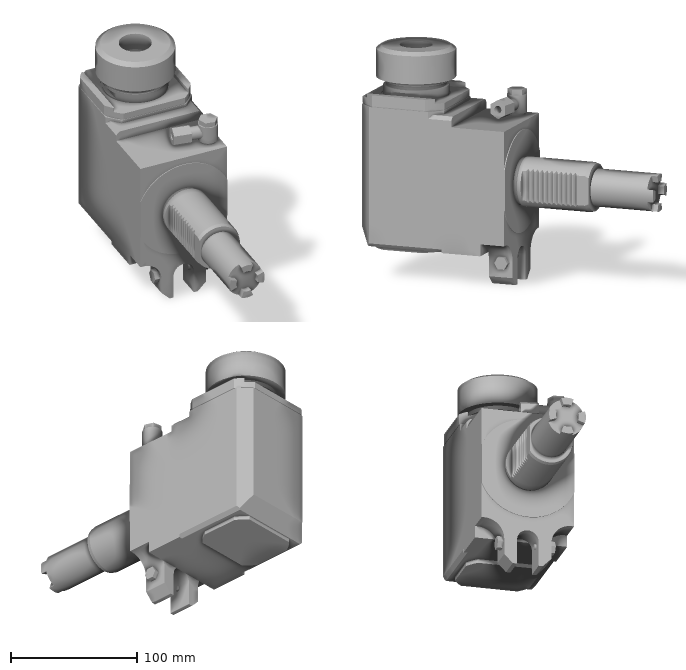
import cadquery as cq
import math

OVERALL_LENGTH = 242.5
WIDTH = 76.0
HALF_WIDTH = WIDTH / 2

TOLERANCE = 0.02

NOSE_LENGTH = 69.9
SHELF_END = 79.8
HOUSING_LENGTH = 124.7
NOSE_TOP = 58.5
SHELF_TOP = 55.8
REAR_TOP = 47.5
HOUSING_BOTTOM = -55.0
CORNER_CHAMFER = 9.7
NOSE_BEVEL_RUN = 8.5
NOSE_BEVEL_HEIGHT = 13.8
EDGE_CHAMFER = 3.0
BOTTOM_CHAMFER_END = 71.3
FACE_DISC_RADIUS = 41.5
FACE_DISC_THICKNESS = 0.7

HEAD_X = NOSE_LENGTH / 2
HEAD_TOP = 103.5
CAP_RADIUS = 31.8
CAP_BOTTOM = 78.0
CAP_CHAMFER_RUN = 4.0
CAP_CHAMFER_HEIGHT = 2.7
SPINDLE_COLLAR_RADIUS = 25.2
SPINDLE_COLLAR_BOTTOM = 74.7
SPINDLE_NECK_RADIUS = 24.0
FLANGE_TOP = 71.8
FLANGE_RADIUS = 26.2
WRENCH_FLAT_WIDTH = 46.0
WRENCH_FLAT_TOP = 69.4
TOOL_BORE_RADIUS = 13.0
TOOL_BORE_DEPTH = 14.5

PLATE_TOP = 64.5
RIM_TOP = 68.2
RIM_INNER_WIDTH = 64.3
PLATE_CORNER_RADIUS = 44.1
RIM_END_FILLET = 0.7
PLATE_GROOVE_HEIGHT = 0.7
PLATE_GROOVE_DEPTH = 0.5
SPINDLE_GROOVE_RADIUS = 27.7
SPINDLE_GROOVE_DEPTH = 1.2
PAD_LENGTH = 51.0
PAD_WIDTH = 61.1
PAD_THICKNESS = 3.2
PAD_CORNER_RADIUS = 34.5

SHANK_RADIUS = 40.0 / 2
SHANK_END_RADIUS = 19.2
SHANK_SHOULDER_START = 127.5
SHANK_SHOULDER_END = 128.8
SHANK_TAPER_START = 185.0
SHANK_END = 188.2
RACK_FLAT_START = 131.7
RACK_FLAT_OFFSET = 16.0
GROOVE_COUNT = 11
FIRST_GROOVE_X = 136.3
LAST_GROOVE_X = 176.5
GROOVE_PITCH = (LAST_GROOVE_X - FIRST_GROOVE_X) / (GROOVE_COUNT - 1)
GROOVE_DEPTH = 1.58
SHAFT_GAP_RADIUS = 10.0
SHAFT_START = 189.5
SHAFT_RADIUS = 30.3 / 2
CLAW_LENGTH = 5.0
CLAW_HALF_ANGLE = 19.5
CLAW_INNER_RADIUS = 9.5

FORK_START = 104.5
FORK_TOP = -45.4
FORK_BOTTOM = -82.0
FORK_OUTER = 19.5
FORK_GAP = 17.7 / 2
FORK_FLARE_END = -61.5
FORK_CHAMFER = 7.0
SCREW_X = 116.5
SCREW_Z = -62.8
SCREW_ACROSS_FLATS = 9.7
SCREW_HEAD_TOP = 23.8
SCREW_TIP = 7.3
SCREW_RADIUS = 2.2

FITTING_X = 109.6
FITTING_Y = 28.4
FITTING_ANGLE = 9.0
FITTING_FOOT_RADIUS = 6.8
FITTING_FOOT_TOP = 49.2
FITTING_BODY_RADIUS = 8.0
FITTING_BODY_TOP = 64.0
FITTING_HEAD_TOP = 68.2
HEX_DIAMETER = 15.5
NOZZLE_Z = 56.5
NOZZLE_TUBE_RADIUS = 5.3
NOZZLE_START = 15.3
NOZZLE_END = 29.8
NOZZLE_HOLE_RADIUS = 3.2
NOZZLE_HOLE_DEPTH = 9.7


def box(x_range, y_range, z_range):
    """Box given by its limits along each axis."""
    sizes = [high - low for low, high in (x_range, y_range, z_range)]
    return (
        cq.Workplane("XY")
        .box(*sizes, centered=False)
        .translate((x_range[0], y_range[0], z_range[0]))
    )


def head_cylinder(radius, bottom, top):
    """Vertical cylinder on the spindle head axis."""
    return cq.Workplane("XY", origin=(HEAD_X, 0, bottom)).circle(radius).extrude(top - bottom)


def head_plate(length, width, corner_radius, bottom, top):
    """Rectangular plate whose corners are turned round about the head axis."""
    blank = cq.Workplane("XY", origin=(HEAD_X, 0, bottom)).rect(length, width).extrude(top - bottom)
    return blank.intersect(head_cylinder(corner_radius, bottom, top))


def width_extrusion(points):
    """XZ outline extruded across the full housing width."""
    return cq.Workplane("XZ").polyline(points).close().extrude(HALF_WIDTH, both=True)


def edge_wedge(x_start, x_end, z_edge, side, inward):
    """45 degree wedge that bevels one long edge; inward is the Z direction into the body."""
    y_edge = side * HALF_WIDTH
    return (
        cq.Workplane("YZ", origin=(x_start, 0, 0))
        .polyline([
            (y_edge, z_edge),
            (y_edge - side * EDGE_CHAMFER, z_edge),
            (y_edge, z_edge + inward * EDGE_CHAMFER),
        ])
        .close()
        .extrude(x_end - x_start)
    )


def make_nose():
    nose = box((0, NOSE_LENGTH), (-HALF_WIDTH, HALF_WIDTH), (HOUSING_BOTTOM, NOSE_TOP))
    return nose.edges("|Z").chamfer(CORNER_CHAMFER)


def make_housing():
    base = width_extrusion([
        (0, HOUSING_BOTTOM),
        (0, SHELF_TOP),
        (SHELF_END, SHELF_TOP),
        (SHELF_END, REAR_TOP),
        (HOUSING_LENGTH, REAR_TOP),
        (HOUSING_LENGTH, HOUSING_BOTTOM),
    ])
    base = base.edges("|Z and <X").chamfer(CORNER_CHAMFER)
    for side in (-1, 1):
        base = base.cut(edge_wedge(NOSE_LENGTH - CORNER_CHAMFER, SHELF_END, SHELF_TOP, side, -1))
    housing = base.union(make_nose())
    for side in (-1, 1):
        housing = housing.cut(edge_wedge(0, BOTTOM_CHAMFER_END, HOUSING_BOTTOM, side, 1))
    nose_bevel = width_extrusion([
        (0, HOUSING_BOTTOM),
        (NOSE_BEVEL_RUN, HOUSING_BOTTOM),
        (0, HOUSING_BOTTOM + NOSE_BEVEL_HEIGHT),
    ])
    face_end = HOUSING_LENGTH + FACE_DISC_THICKNESS
    face_disc = (
        cq.Workplane("YZ", origin=(HOUSING_LENGTH, 0, 0))
        .circle(FACE_DISC_RADIUS)
        .extrude(FACE_DISC_THICKNESS)
        .intersect(box((0, face_end), (-HALF_WIDTH, HALF_WIDTH), (-WIDTH, WIDTH)))
    )
    return housing.cut(nose_bevel).union(face_disc)


def make_cover_plates():
    groove_top = NOSE_TOP + PLATE_GROOVE_HEIGHT
    foot = head_plate(
        NOSE_LENGTH - 2 * PLATE_GROOVE_DEPTH,
        WIDTH - 2 * PLATE_GROOVE_DEPTH,
        PLATE_CORNER_RADIUS - PLATE_GROOVE_DEPTH,
        NOSE_TOP,
        groove_top,
    )
    cover = head_plate(NOSE_LENGTH, WIDTH, PLATE_CORNER_RADIUS, groove_top, RIM_TOP)
    half_inner = RIM_INNER_WIDTH / 2
    cover = cover.cut(box((0, NOSE_LENGTH), (-half_inner, half_inner), (PLATE_TOP, RIM_TOP)))
    rim_height = RIM_TOP - PLATE_TOP
    rim_inner_edges = cover.edges("|Z").filter(lambda edge: edge.Length() < rim_height + TOLERANCE)
    cover = rim_inner_edges.fillet(RIM_END_FILLET)
    groove_bottom = PLATE_TOP - SPINDLE_GROOVE_DEPTH
    groove = head_cylinder(SPINDLE_GROOVE_RADIUS, groove_bottom, PLATE_TOP)
    cover = cover.cut(groove.cut(head_cylinder(FLANGE_RADIUS, groove_bottom, PLATE_TOP)))
    pad_bottom = HOUSING_BOTTOM - PAD_THICKNESS
    pad = head_plate(PAD_LENGTH, PAD_WIDTH, PAD_CORNER_RADIUS, pad_bottom, HOUSING_BOTTOM)
    return foot.union(cover).union(pad)


def make_spindle_head():
    head = (
        cq.Workplane("XZ", origin=(HEAD_X, 0, 0))
        .polyline([
            (0, PLATE_TOP),
            (FLANGE_RADIUS, PLATE_TOP),
            (FLANGE_RADIUS, FLANGE_TOP),
            (SPINDLE_NECK_RADIUS, FLANGE_TOP),
            (SPINDLE_NECK_RADIUS, SPINDLE_COLLAR_BOTTOM),
            (SPINDLE_COLLAR_RADIUS, SPINDLE_COLLAR_BOTTOM),
            (SPINDLE_COLLAR_RADIUS, CAP_BOTTOM),
            (CAP_RADIUS, CAP_BOTTOM),
            (CAP_RADIUS, HEAD_TOP - CAP_CHAMFER_HEIGHT),
            (CAP_RADIUS - CAP_CHAMFER_RUN, HEAD_TOP),
            (0, HEAD_TOP),
        ])
        .close()
        .revolve(360, (0, 0), (0, 1))
    )
    for side in (-1, 1):
        y_limits = sorted((side * WRENCH_FLAT_WIDTH / 2, side * FLANGE_RADIUS))
        head = head.cut(box((0, NOSE_LENGTH), y_limits, (PLATE_TOP, WRENCH_FLAT_TOP)))
    return head.cut(head_cylinder(TOOL_BORE_RADIUS, HEAD_TOP - TOOL_BORE_DEPTH, HEAD_TOP))


def make_shank():
    shank = (
        cq.Workplane("XY")
        .polyline([
            (HOUSING_LENGTH, 0),
            (HOUSING_LENGTH, SHANK_END_RADIUS),
            (SHANK_SHOULDER_START, SHANK_END_RADIUS),
            (SHANK_SHOULDER_END, SHANK_RADIUS),
            (SHANK_TAPER_START, SHANK_RADIUS),
            (SHANK_END, SHANK_END_RADIUS),
            (SHANK_END, SHAFT_GAP_RADIUS),
            (SHAFT_START, SHAFT_GAP_RADIUS),
            (SHAFT_START, SHAFT_RADIUS),
            (OVERALL_LENGTH, SHAFT_RADIUS),
            (OVERALL_LENGTH, 0),
        ])
        .close()
        .revolve(360, (0, 0), (1, 0))
    )
    rack_face = -RACK_FLAT_OFFSET
    shank = shank.cut(
        box((RACK_FLAT_START, SHANK_END), (-SHANK_RADIUS, rack_face), (-SHANK_RADIUS, SHANK_RADIUS))
    )
    for index in range(GROOVE_COUNT):
        x = FIRST_GROOVE_X + index * GROOVE_PITCH
        groove = (
            cq.Workplane("XY")
            .polyline([
                (x - GROOVE_DEPTH, rack_face),
                (x, rack_face + GROOVE_DEPTH),
                (x + GROOVE_DEPTH, rack_face),
            ])
            .close()
            .extrude(SHANK_RADIUS, both=True)
        )
        shank = shank.cut(groove)
    return shank.cut(make_claw_gaps())


def make_claw_gaps():
    """Everything between the four end claws, which stand on the Y and Z axes."""
    claw_base = cq.Workplane("YZ", origin=(OVERALL_LENGTH - CLAW_LENGTH, 0, 0))
    bore = claw_base.circle(CLAW_INNER_RADIUS).extrude(CLAW_LENGTH)
    gaps = bore
    half_gap = math.radians(45 - CLAW_HALF_ANGLE)
    reach = 2 * SHAFT_RADIUS
    for index in range(4):
        middle = math.radians(45 + 90 * index)
        corners = [
            (reach * math.cos(angle), reach * math.sin(angle))
            for angle in (middle - half_gap, middle + half_gap)
        ]
        gaps = gaps.union(claw_base.polyline([(0, 0), *corners]).close().extrude(CLAW_LENGTH))
    return gaps


def cut_fork(housing):
    """Flare the lower rear corners into two clamp legs and slot them apart."""
    fork_length = HOUSING_LENGTH - FORK_START
    fork_plane = cq.Workplane("YZ", origin=(FORK_START, 0, 0))
    fork_block = fork_plane.rect(WIDTH, -2 * FORK_BOTTOM).extrude(fork_length)
    fork_block = fork_block.intersect(
        box((FORK_START, HOUSING_LENGTH), (-HALF_WIDTH, HALF_WIDTH), (FORK_BOTTOM, FORK_TOP))
    )
    flare_radius = FORK_TOP - FORK_FLARE_END
    flare_bend = flare_radius * (1 - math.sqrt(0.5))
    legs = (
        fork_plane.moveTo(FORK_OUTER + flare_radius, FORK_TOP)
        .threePointArc((FORK_OUTER + flare_bend, FORK_TOP - flare_bend), (FORK_OUTER, FORK_FLARE_END))
        .lineTo(FORK_OUTER, FORK_BOTTOM + FORK_CHAMFER)
        .lineTo(FORK_OUTER - FORK_CHAMFER, FORK_BOTTOM)
        .lineTo(FORK_GAP, FORK_BOTTOM)
        .lineTo(FORK_GAP, FORK_FLARE_END)
        .threePointArc((0, FORK_FLARE_END + FORK_GAP), (-FORK_GAP, FORK_FLARE_END))
        .lineTo(-FORK_GAP, FORK_BOTTOM)
        .lineTo(FORK_CHAMFER - FORK_OUTER, FORK_BOTTOM)
        .lineTo(-FORK_OUTER, FORK_BOTTOM + FORK_CHAMFER)
        .lineTo(-FORK_OUTER, FORK_FLARE_END)
        .threePointArc(
            (-FORK_OUTER - flare_bend, FORK_TOP - flare_bend),
            (-FORK_OUTER - flare_radius, FORK_TOP),
        )
        .close()
        .extrude(fork_length)
    )
    return housing.cut(fork_block).union(legs)


def make_fork_screws():
    screws = cq.Workplane("XY")
    head_diameter = SCREW_ACROSS_FLATS / math.cos(math.pi / 6)
    for side in (-1, 1):
        plane = cq.Plane(
            origin=(SCREW_X, side * SCREW_TIP, SCREW_Z), xDir=(1, 0, 0), normal=(0, side, 0)
        )
        pin = cq.Workplane(plane).circle(SCREW_RADIUS).extrude(SCREW_HEAD_TOP - SCREW_TIP)
        head = (
            cq.Workplane(plane)
            .workplane(offset=FORK_OUTER - SCREW_TIP)
            .polygon(6, head_diameter)
            .extrude(SCREW_HEAD_TOP - FORK_OUTER)
        )
        screws = screws.union(pin).union(head)
    return screws


def make_fitting():
    """Banjo fitting, built on the Z axis with its nozzle toward -Y, then swung into place."""
    foot = cq.Workplane("XY", origin=(0, 0, REAR_TOP)).circle(FITTING_FOOT_RADIUS)
    fitting = foot.extrude(FITTING_FOOT_TOP - REAR_TOP)
    body = cq.Workplane("XY", origin=(0, 0, FITTING_FOOT_TOP)).circle(FITTING_BODY_RADIUS)
    fitting = fitting.union(body.extrude(FITTING_BODY_TOP - FITTING_FOOT_TOP))
    head = cq.Workplane("XY", origin=(0, 0, FITTING_BODY_TOP)).transformed(rotate=(0, 0, 90))
    fitting = fitting.union(head.polygon(6, HEX_DIAMETER).extrude(FITTING_HEAD_TOP - FITTING_BODY_TOP))

    nozzle_axis = cq.Plane(origin=(0, 0, NOZZLE_Z), xDir=(0, 0, 1), normal=(0, -1, 0))
    nozzle = cq.Workplane(nozzle_axis)
    tube = nozzle.circle(NOZZLE_TUBE_RADIUS).extrude(NOZZLE_START)
    nut = nozzle.workplane(offset=NOZZLE_START).polygon(6, HEX_DIAMETER).extrude(NOZZLE_END - NOZZLE_START)
    hole = (
        nozzle.workplane(offset=NOZZLE_END - NOZZLE_HOLE_DEPTH)
        .circle(NOZZLE_HOLE_RADIUS)
        .extrude(NOZZLE_HOLE_DEPTH)
    )
    fitting = fitting.union(tube).union(nut).cut(hole)
    fitting = fitting.rotate((0, 0, 0), (0, 0, 1), -FITTING_ANGLE)
    return fitting.translate((FITTING_X, FITTING_Y, 0))


result = (
    cut_fork(make_housing())
    .union(make_cover_plates())
    .union(make_spindle_head())
    .union(make_shank())
    .union(make_fork_screws())
    .union(make_fitting())
)